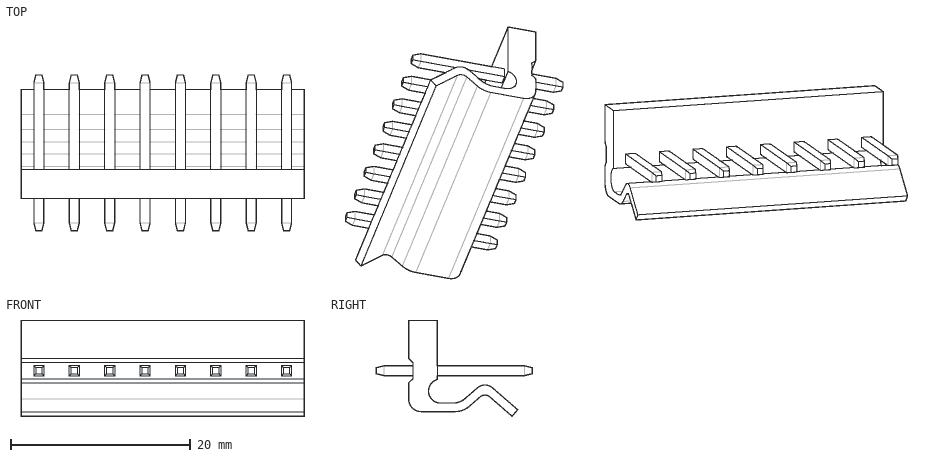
import cadquery as cq
import math

pin_count = 8
pin_pitch = 3.95
pin_width = 1.15
pin_tip_width = 0.7
pin_taper = 0.9
pin_height = 4.6
pin_front = -3.6
pin_length = 17.45

body_length = pin_count * pin_pitch
wall_thickness = 3.23
wall_top = 10.23
floor_thickness = 0.98
front_corner_radius = 1.43

groove_depth = 0.48
groove_opening = 2.72
groove_bottom_width = 1.8

hollow_radius = 1.33
hollow_center_y = 3.58

latch_angle = math.radians(41)
latch_thickness = 0.98
latch_crest_y = 8.55
latch_crest_height = 3.42
latch_end_y = 12.23
valley_top_radius = 2.05
valley_bottom_radius = 2.38
crest_top_radius = 1.27
crest_bottom_radius = 0.82


def latch_corners():
    """Sharp corners of the latch in (y, z): top side, then underside from the end inwards."""
    slope = math.tan(latch_angle)
    underside_crest = latch_crest_height - latch_thickness / math.cos(latch_angle)
    end_top_z = latch_crest_height - slope * (latch_end_y - latch_crest_y)
    valley_top = (latch_crest_y - (latch_crest_height - floor_thickness) / slope, floor_thickness)
    crest_top = (latch_crest_y, latch_crest_height)
    end_top = (latch_end_y, end_top_z)
    end_bottom = (
        latch_end_y - latch_thickness * math.sin(latch_angle),
        end_top_z - latch_thickness * math.cos(latch_angle),
    )
    crest_bottom = (latch_crest_y, underside_crest)
    valley_bottom = (latch_crest_y - underside_crest / slope, 0)
    return valley_top, crest_top, end_top, end_bottom, crest_bottom, valley_bottom


def make_housing():
    """Extrude the sharp side profile along X, then round its bends."""
    corners = latch_corners()
    valley_top, crest_top, _, _, crest_bottom, valley_bottom = corners

    hollow_center_z = floor_thickness + hollow_radius
    hollow_start_z = hollow_center_z + math.sqrt(
        hollow_radius**2 - (hollow_center_y - wall_thickness) ** 2
    )
    profile = (
        cq.Workplane("YZ")
        .moveTo(0, 0)
        .lineTo(0, pin_height - groove_opening / 2)
        .lineTo(groove_depth, pin_height - groove_bottom_width / 2)
        .lineTo(groove_depth, pin_height + groove_bottom_width / 2)
        .lineTo(0, pin_height + groove_opening / 2)
        .lineTo(0, wall_top)
        .lineTo(wall_thickness, wall_top)
        .lineTo(wall_thickness, hollow_start_z)
        .threePointArc(
            (hollow_center_y - hollow_radius, hollow_center_z),
            (hollow_center_y, floor_thickness),
        )
    )
    for y, z in corners:
        profile = profile.lineTo(y, z)
    housing = profile.close().extrude(body_length)

    bends = (
        ((0, 0), front_corner_radius),
        (valley_top, valley_top_radius),
        (crest_top, crest_top_radius),
        (crest_bottom, crest_bottom_radius),
        (valley_bottom, valley_bottom_radius),
    )
    for (y, z), radius in bends:
        edge = cq.NearestToPointSelector((body_length / 2, y, z))
        housing = housing.edges("|X").edges(edge).fillet(radius)
    return housing


def make_tip(x, base_y, direction):
    """Tapered pin end pointing along Y; direction is +1 or -1."""
    base = cq.Plane(origin=(x, base_y, pin_height), xDir=(1, 0, 0), normal=(0, direction, 0))
    return (
        cq.Workplane(base)
        .rect(pin_width, pin_width)
        .workplane(offset=pin_taper)
        .rect(pin_tip_width, pin_tip_width)
        .loft(combine=True)
    )


def make_pin(x):
    """Square pin through the wall, tapered at both ends."""
    shaft_front = pin_front + pin_taper
    shaft_length = pin_length - 2 * pin_taper
    shaft = cq.Workplane("XY").box(pin_width, shaft_length, pin_width, centered=(True, False, True))
    shaft = shaft.translate((x, shaft_front, pin_height))
    front_tip = make_tip(x, shaft_front, -1)
    back_tip = make_tip(x, shaft_front + shaft_length, 1)
    return shaft.union(front_tip).union(back_tip)


result = make_housing()
for index in range(pin_count):
    result = result.union(make_pin((index + 0.5) * pin_pitch))